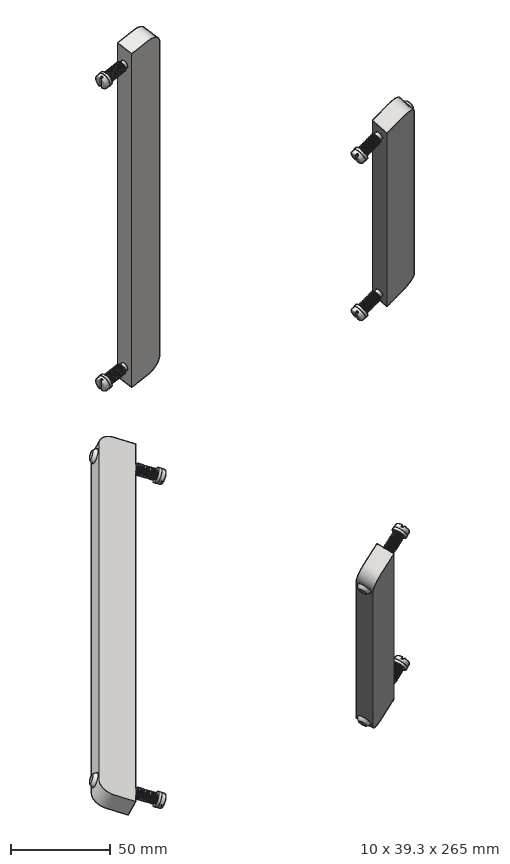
import cadquery as cq

bar_width = 10.0
bar_depth = 20.1
bar_height = 265.0
bar_corner_radius = 8.2

screw_spacing = 240.0
screw_reach = 17.2
core_diameter = 4.5
core_insertion = 8.0
thread_diameter = 6.0
thread_pitch = 1.0
thread_turns = 11
crest_width = thread_pitch / 8
root_width = thread_pitch / 4
head_diameter = 8.0
head_height = 2.6
head_rim_radius = 0.93
slot_width = 1.0
slot_depth = 1.3

washer_diameter = 8.2
washer_thickness = 1.5

cap_diameter = 8.0
cap_tip_diameter = 4.8
cap_dome_radius = 4.2
cap_height = 2.0

head_underside = -(screw_reach - head_height)
washer_face = head_underside + washer_thickness
screw_heights = [-screw_spacing / 2, screw_spacing / 2]


def turn_body(profile, height):
    """Revolve an XY half profile (X is the radius) about the Y axis and lift it to a height on Z."""
    solid = profile.close().revolve(360, (0, 0, 0), (0, 1, 0))
    return solid.translate((0, 0, height))


def make_bar():
    bar = cq.Workplane("XY").box(bar_width, bar_depth, bar_height, centered=(True, False, True))
    bar = bar.edges(">Y and |X").fillet(bar_corner_radius)
    hole_centres = cq.Workplane("XZ").pushPoints([(0, z) for z in screw_heights])
    screw_holes = hole_centres.circle(core_diameter / 2).extrude(-core_insertion)
    return bar.cut(screw_holes)


def make_screw(height):
    core_radius = core_diameter / 2
    thread_radius = thread_diameter / 2
    head_radius = head_diameter / 2
    flank_width = (thread_pitch - crest_width - root_width) / 2

    profile = cq.Workplane("XY").moveTo(0, core_insertion).lineTo(core_radius, core_insertion)
    first_ridge = washer_face + thread_turns * thread_pitch
    for turn in range(thread_turns):
        ridge_start = first_ridge - turn * thread_pitch
        crest_start = ridge_start - flank_width
        crest_end = crest_start - crest_width
        profile = (
            profile.lineTo(core_radius, ridge_start)
            .lineTo(thread_radius, crest_start)
            .lineTo(thread_radius, crest_end)
            .lineTo(core_radius, crest_end - flank_width)
        )
    rim_start = -screw_reach + head_rim_radius
    profile = (
        profile.lineTo(core_radius, head_underside)
        .lineTo(head_radius, head_underside)
        .lineTo(head_radius, rim_start)
        .radiusArc((head_radius - head_rim_radius, -screw_reach), head_rim_radius)
        .lineTo(0, -screw_reach)
    )
    screw = turn_body(profile, height)
    slot = cq.Workplane("XY").box(slot_width, slot_depth, head_diameter, centered=(True, False, True))
    return screw.cut(slot.translate((0, -screw_reach, height)))


def make_washer(height):
    ring = cq.Workplane("XZ", origin=(0, washer_face, height))
    return ring.circle(washer_diameter / 2).circle(core_diameter / 2).extrude(washer_thickness)


def make_cap(height):
    cap_end = bar_depth + cap_height
    profile = (
        cq.Workplane("XY")
        .moveTo(0, bar_depth)
        .lineTo(cap_diameter / 2, bar_depth)
        .radiusArc((cap_tip_diameter / 2, cap_end), -cap_dome_radius)
        .lineTo(0, cap_end)
    )
    return turn_body(profile, height)


bar = make_bar()
screws = [make_screw(z) for z in screw_heights]
washers = [make_washer(z) for z in screw_heights]
caps = [make_cap(z) for z in screw_heights]

result = cq.Compound.makeCompound([body.val() for body in [bar, *screws, *washers, *caps]])